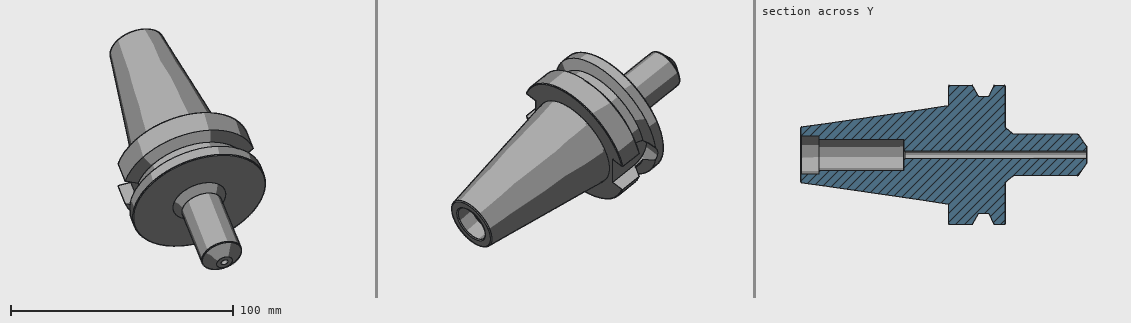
import cadquery as cq

length = 129.0

taper_rate = 7 / 24
gauge_radius = 22.2
gauge_x = 65.5
small_end_radius = gauge_radius - gauge_x * taper_rate / 2
small_end_chamfer = 0.5

flange_radius = 31.5
flange_start = 66.6
flange_end = 92.3
flange_edge_chamfer = 0.4
groove_radius = 26.5
groove_start = 77.4
groove_floor_start = 80.3
groove_floor_end = 84.8
groove_end = 87.1

spigot_radius = 19.0 / 2
root_radius = 12.5
root_end = 95.9
tip_radius = 3.7
tip_break_start = 124.8
tip_cone_start = 125.3
tip_cone_radius = 9.3

slot_radius = 8.3
slot_center_x = 80.0
slot_floor_y = 24.3

bore_radius = 17.0 / 2
bore_mouth_chamfer = 0.5
bore_depth = 8.3
inner_bore_radius = 13.7 / 2
inner_bore_depth = 46.5
coolant_radius = 3.2 / 2
coolant_mouth_radius = 4.6 / 2
coolant_mouth_depth = coolant_mouth_radius - coolant_radius


def revolve_profile(points):
    """Revolve a closed (x, radius) outline about the X axis."""
    return cq.Workplane("XY").polyline(points).close().revolve(360, (0, 0, 0), (1, 0, 0))


def make_body():
    chamfer_radius_drop = small_end_chamfer * (1 - taper_rate / 2)
    return revolve_profile([
        (0, 0),
        (0, small_end_radius - chamfer_radius_drop),
        (small_end_chamfer, small_end_radius + small_end_chamfer * taper_rate / 2),
        (gauge_x, gauge_radius),
        (flange_start, gauge_radius),
        (flange_start, flange_radius - flange_edge_chamfer),
        (flange_start + flange_edge_chamfer, flange_radius),
        (groove_start, flange_radius),
        (groove_floor_start, groove_radius),
        (groove_floor_end, groove_radius),
        (groove_end, flange_radius),
        (flange_end - flange_edge_chamfer, flange_radius),
        (flange_end, flange_radius - flange_edge_chamfer),
        (flange_end, root_radius),
        (root_end, spigot_radius),
        (tip_break_start, spigot_radius),
        (tip_cone_start, tip_cone_radius),
        (length, tip_radius),
        (length, 0),
    ])


def make_bores():
    return revolve_profile([
        (0, 0),
        (0, bore_radius + bore_mouth_chamfer),
        (bore_mouth_chamfer, bore_radius),
        (bore_depth, bore_radius),
        (bore_depth, inner_bore_radius),
        (inner_bore_depth, inner_bore_radius),
        (inner_bore_depth, coolant_mouth_radius),
        (inner_bore_depth + coolant_mouth_depth, coolant_radius),
        (length, coolant_radius),
        (length, 0),
    ])


def make_drive_slot():
    """Round-ended slot on the +Y side, open toward the taper."""
    slot_depth = flange_radius - slot_floor_y
    floor = cq.Workplane("XZ", origin=(0, slot_floor_y, 0))
    return (
        floor.moveTo(flange_start, -slot_radius)
        .lineTo(slot_center_x, -slot_radius)
        .threePointArc((slot_center_x + slot_radius, 0), (slot_center_x, slot_radius))
        .lineTo(flange_start, slot_radius)
        .close()
        .extrude(-slot_depth)
    )


drive_slot = make_drive_slot()
result = make_body().cut(make_bores()).cut(drive_slot).cut(drive_slot.mirror("XZ"))